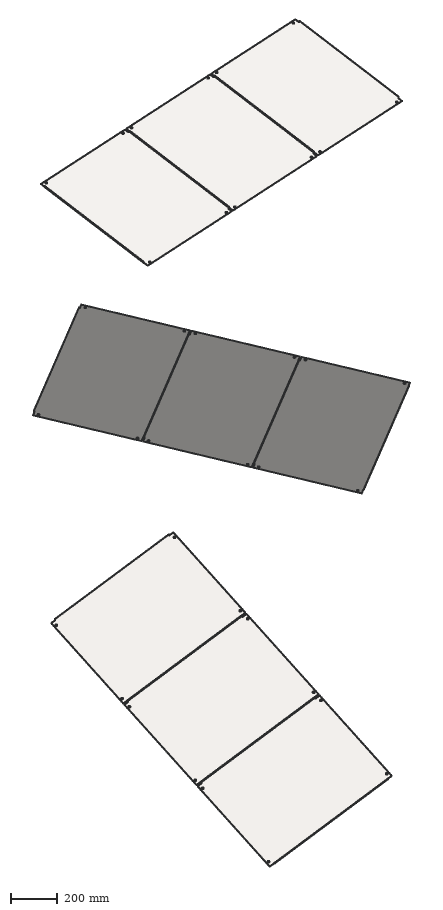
import cadquery as cq

panel_count = 3
total_length = 1498.0
panel_width = 682.0
panel_gap = 2.0
panel_length = (total_length - (panel_count - 1) * panel_gap) / panel_count
panel_pitch = panel_length + panel_gap

sheet_thickness = 1.0
panel_height = 8.0
flange_width = 635.0
inner_bend_radius = 1.0
outer_bend_radius = inner_bend_radius + sheet_thickness
flat_length = panel_length - 2 * outer_bend_radius

hole_diameter = 8.0
hole_side_inset = 11.0
hole_end_inset = 24.0


def make_block(width, length, height):
    """Block centred in X and Y, standing on Z = 0."""
    return cq.Workplane("XY").box(width, length, height, centered=(True, True, False))


def make_folded_sheet():
    """Floor of the flange width, bent up into a flange at each Y end."""
    outside = make_block(flange_width, panel_length, panel_height)
    outside = outside.edges("|X and <Z").fillet(outer_bend_radius)
    inside = make_block(flange_width, panel_length - 2 * sheet_thickness, panel_height)
    inside = inside.edges("|X and <Z").fillet(inner_bend_radius)
    return outside.cut(inside.translate((0, 0, sheet_thickness)))


def make_corner_holes():
    """Cutters for the through hole in each corner of a panel."""
    return (
        cq.Workplane("XY")
        .rect(
            panel_width - 2 * hole_side_inset,
            panel_length - 2 * hole_end_inset,
            forConstruction=True,
        )
        .vertices()
        .circle(hole_diameter / 2)
        .extrude(sheet_thickness)
    )


def make_panel(center_y):
    """One panel; the flat floor runs past the flanges in X and stops at the bend lines in Y."""
    floor = make_block(panel_width, flat_length, sheet_thickness)
    panel = make_folded_sheet().union(floor).cut(make_corner_holes())
    return panel.translate((0, center_y, 0))


first_center_y = -(panel_count - 1) / 2 * panel_pitch
panels = []
for index in range(panel_count):
    panels.append(make_panel(first_center_y + index * panel_pitch))

result = cq.Compound.makeCompound([panel.val() for panel in panels])